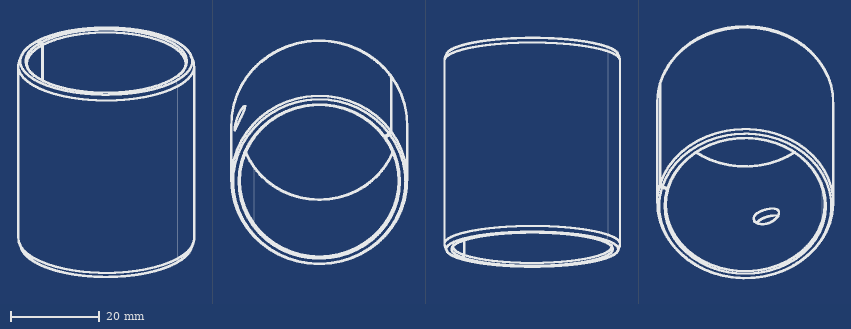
import cadquery as cq

length = 45.0
outer_diameter = 40.0
wall = 2.0
outer_radius = outer_diameter / 2
inner_radius = outer_radius - wall

outer_chamfer_height = 1.2
outer_chamfer_depth = 0.45
inner_chamfer_height = 0.6
inner_chamfer_depth = 0.3

seam_width = 0.3
oil_hole_diameter = 6.0
oil_hole_angle = 59.0


def make_sleeve():
    """Revolve the chamfered wall section about the Z axis."""
    half = length / 2
    section = [
        (inner_radius, half - inner_chamfer_height),
        (inner_radius + inner_chamfer_depth, half),
        (outer_radius - outer_chamfer_depth, half),
        (outer_radius, half - outer_chamfer_height),
        (outer_radius, outer_chamfer_height - half),
        (outer_radius - outer_chamfer_depth, -half),
        (inner_radius + inner_chamfer_depth, -half),
        (inner_radius, inner_chamfer_height - half),
    ]
    return cq.Workplane("XZ").polyline(section).close().revolve(360, (0, 0), (0, 1))


def make_seam():
    """Thin full-length slit through the -X wall, lying on the +Y side of the XZ plane."""
    slit = cq.Workplane("XY").box(outer_diameter, seam_width, length)
    return slit.translate((-outer_radius, seam_width / 2, 0))


def make_oil_hole():
    """Radial drill reaching from the axis through one wall."""
    drill = cq.Workplane("YZ").circle(oil_hole_diameter / 2).extrude(outer_diameter)
    return drill.rotate((0, 0, 0), (0, 0, 1), oil_hole_angle)


result = make_sleeve().cut(make_seam()).cut(make_oil_hole())